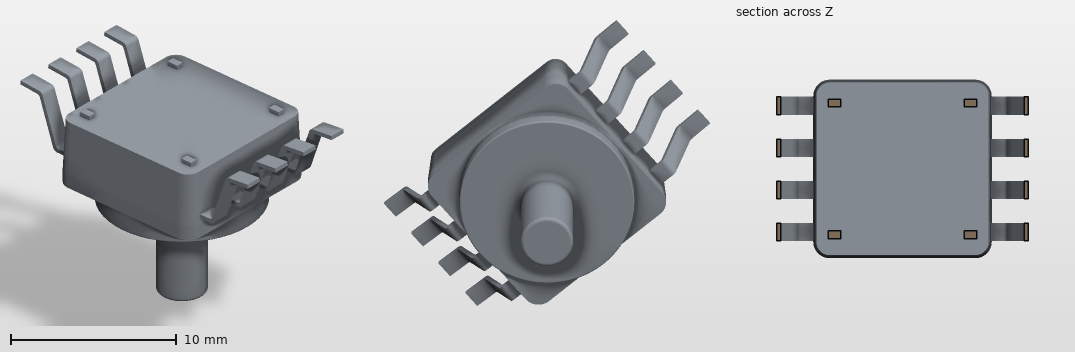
import cadquery as cq
import math

BODY_SIDE = 10.79
BODY_CORNER_RADIUS = 1.0
BAND_HEIGHT = 1.0
BODY_HEIGHT = 4.51
DRAFT_ANGLE = 3

PAD_LENGTH = 0.77
PAD_WIDTH = 0.5
PAD_HEIGHT = 0.3
PAD_OFFSET_X = 4.1
PAD_OFFSET_Y = 3.98

BASE_RADIUS = 5.28
BASE_HEIGHT = 1.35
BASE_FILLET = 0.1

PORT_RADIUS = 1.58
PORT_LENGTH = 6.45
PORT_ROOT_FILLET = 0.45
PORT_TIP_FILLET = 0.22

LEAD_COUNT = 4
LEAD_PITCH = 2.54
LEAD_WIDTH = 1.1
LEAD_THICKNESS = 0.28
LEAD_SPAN = 18.41
LEAD_ROOT_X = 4.6
LEAD_ROOT_Z = 1.45
LEAD_BEND_X = 6.37
LEAD_TOP_Z = 5.21
LEAD_RISE_ANGLE = math.radians(71)
LEAD_FOOT_ANGLE = math.radians(5)
LEAD_INNER_RADIUS = 0.22
LEAD_OUTER_RADIUS = 0.33


def make_housing():
    """Rounded square block whose sides lean inward above the band."""

    def rounded_square(height):
        return (
            cq.Sketch()
            .rect(BODY_SIDE, BODY_SIDE)
            .vertices()
            .fillet(BODY_CORNER_RADIUS)
            .moved(cq.Location(cq.Vector(0, 0, height)))
        )

    band = cq.Workplane().placeSketch(rounded_square(0)).extrude(BAND_HEIGHT)
    upper = (
        cq.Workplane()
        .placeSketch(rounded_square(BAND_HEIGHT))
        .extrude(BODY_HEIGHT - BAND_HEIGHT, taper=DRAFT_ANGLE)
    )
    return band.union(upper)


def make_pads():
    """Four pads near the corners of the top face."""
    return (
        cq.Workplane()
        .workplane(offset=BODY_HEIGHT)
        .rect(2 * PAD_OFFSET_X, 2 * PAD_OFFSET_Y, forConstruction=True)
        .vertices()
        .rect(PAD_LENGTH, PAD_WIDTH)
        .extrude(PAD_HEIGHT)
    )


def make_base_and_port():
    """Base and port turned as one profile, flared under the housing and at the port's root."""
    base_bottom = -BASE_HEIGHT
    port_bottom = base_bottom - PORT_LENGTH

    flare_center = (BASE_RADIUS + BASE_FILLET, -BASE_FILLET)
    rim_center = (BASE_RADIUS - BASE_FILLET, base_bottom + BASE_FILLET)
    root_center = (PORT_RADIUS + PORT_ROOT_FILLET, base_bottom - PORT_ROOT_FILLET)
    tip_center = (PORT_RADIUS - PORT_TIP_FILLET, port_bottom + PORT_TIP_FILLET)

    def inner_corner_middle(center, radius):
        """Middle of the quarter arc on the upper, axis side of its centre."""
        reach = radius * math.sqrt(0.5)
        return (center[0] - reach, center[1] + reach)

    def outer_corner_middle(center, radius):
        """Middle of the quarter arc on the lower, outer side of its centre."""
        reach = radius * math.sqrt(0.5)
        return (center[0] + reach, center[1] - reach)

    return (
        cq.Workplane("XZ")
        .moveTo(0, 0)
        .lineTo(flare_center[0], 0)
        .threePointArc(inner_corner_middle(flare_center, BASE_FILLET), (BASE_RADIUS, flare_center[1]))
        .lineTo(BASE_RADIUS, rim_center[1])
        .threePointArc(outer_corner_middle(rim_center, BASE_FILLET), (rim_center[0], base_bottom))
        .lineTo(root_center[0], base_bottom)
        .threePointArc(inner_corner_middle(root_center, PORT_ROOT_FILLET), (PORT_RADIUS, root_center[1]))
        .lineTo(PORT_RADIUS, tip_center[1])
        .threePointArc(outer_corner_middle(tip_center, PORT_TIP_FILLET), (tip_center[0], port_bottom))
        .lineTo(0, port_bottom)
        .close()
        .revolve(360, (0, 0, 0), (0, 1, 0))
    )


def make_lead():
    """One lead on the +X side: root, rising shank and slightly tilted foot."""
    half = LEAD_THICKNESS / 2
    foot_end = (
        LEAD_SPAN / 2 - half * math.sin(LEAD_FOOT_ANGLE),
        LEAD_TOP_Z - half * math.cos(LEAD_FOOT_ANGLE),
    )
    rise = math.tan(LEAD_RISE_ANGLE)
    tilt = math.tan(LEAD_FOOT_ANGLE)
    foot_z_at_bend = foot_end[1] - tilt * (foot_end[0] - LEAD_BEND_X)
    upper_x = LEAD_BEND_X + (foot_z_at_bend - LEAD_ROOT_Z) / (rise - tilt)
    upper_z = LEAD_ROOT_Z + rise * (upper_x - LEAD_BEND_X)

    corners = [
        ((LEAD_ROOT_X, LEAD_ROOT_Z), 0, 0),
        ((LEAD_BEND_X, LEAD_ROOT_Z), 0, LEAD_RISE_ANGLE),
        ((upper_x, upper_z), LEAD_RISE_ANGLE, LEAD_FOOT_ANGLE),
        (foot_end, LEAD_FOOT_ANGLE, LEAD_FOOT_ANGLE),
    ]

    def face_point(corner, side):
        (x, z), before, after = corner
        mean = (before + after) / 2
        reach = side * half / math.cos((after - before) / 2)
        return (x - reach * math.sin(mean), z + reach * math.cos(mean))

    upper_face = [face_point(corner, 1) for corner in corners]
    lower_face = [face_point(corner, -1) for corner in corners]

    def round_bend(strip, point, radius):
        edge = cq.selectors.NearestToPointSelector((point[0], 0, point[1]))
        return strip.edges("|Y").edges(edge).fillet(radius)

    lead = (
        cq.Workplane("XZ")
        .polyline(upper_face + lower_face[::-1])
        .close()
        .extrude(LEAD_WIDTH / 2, both=True)
    )
    lead = round_bend(lead, upper_face[1], LEAD_INNER_RADIUS)
    lead = round_bend(lead, lower_face[1], LEAD_OUTER_RADIUS)
    lead = round_bend(lead, upper_face[2], LEAD_OUTER_RADIUS)
    return round_bend(lead, lower_face[2], LEAD_INNER_RADIUS)


result = make_housing().union(make_pads()).union(make_base_and_port())
right_lead = make_lead()
left_lead = right_lead.mirror("YZ")
for index in range(LEAD_COUNT):
    lead_y = (index - (LEAD_COUNT - 1) / 2) * LEAD_PITCH
    for lead in (right_lead, left_lead):
        result = result.union(lead.translate((0, lead_y, 0)))